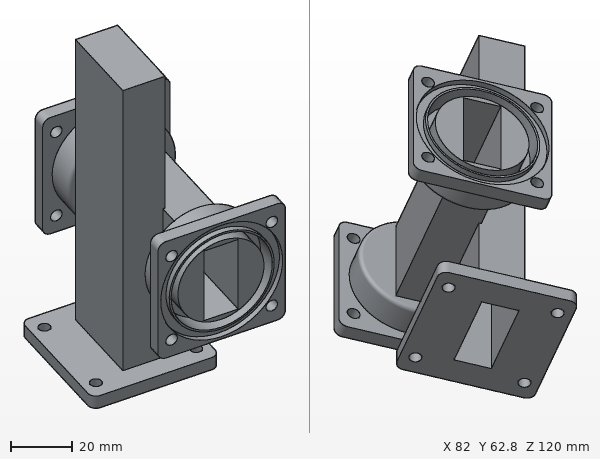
import cadquery as cq

flange_size = 47.8
flange_thickness = 5.0
flange_corner_radius = 3.0
hole_spacing_long = 37.5
hole_spacing_short = 34.3
side_hole_diameter = 4.3
base_hole_diameter = 4.2

tube_width = 31.7
tube_depth = 15.8
bore_width = 28.5
bore_depth = 12.8

overall_length = 82.0
overall_height = 120.0
port_height = 50.0
column_offset = -15.0
cap_thickness = 1.5

hub_diameter = 40.7
hub_length = 10.9
hub_fillet = 1.5

seal_outer_diameter = 45.7
seal_inner_diameter = 39.4
seal_depth = 2.2
choke_outer_diameter = 37.9
choke_inner_diameter = 32.3
choke_depth = 7.8
boss_recess = 0.5


def flange_plate(hole_diameter):
    """Drilled plate with its outer face on z = 0, long hole spacing along y."""
    return (
        cq.Workplane("XY")
        .rect(flange_size, flange_size)
        .extrude(flange_thickness)
        .edges("|Z")
        .fillet(flange_corner_radius)
        .faces("<Z")
        .workplane(origin=(0, 0, 0))
        .rect(hole_spacing_short, hole_spacing_long, forConstruction=True)
        .vertices()
        .hole(hole_diameter)
    )


def face_ring(outer_diameter, inner_diameter, depth):
    """Ring standing on z = 0, used to cut a face groove."""
    return cq.Workplane("XY").circle(outer_diameter / 2).circle(inner_diameter / 2).extrude(depth)


def side_port():
    """Grooved flange with its hub, facing -X at the left end of the cross tube."""
    hub = (
        cq.Workplane("XY")
        .workplane(offset=flange_thickness)
        .circle(hub_diameter / 2)
        .extrude(hub_length)
        .faces(">Z")
        .edges()
        .fillet(hub_fillet)
    )
    port = flange_plate(side_hole_diameter).union(hub)
    port = port.cut(face_ring(seal_outer_diameter, seal_inner_diameter, seal_depth))
    port = port.cut(face_ring(choke_outer_diameter, choke_inner_diameter, choke_depth))
    port = port.cut(cq.Workplane("XY").circle(choke_inner_diameter / 2).extrude(boss_recess))
    return port.rotate((0, 0, 0), (0, 1, 0), 90).translate((-overall_length / 2, 0, port_height))


left_port = side_port()
right_port = left_port.mirror("YZ")
cross_tube_length = overall_length - 2 * (flange_thickness + hub_length)
cross_tube = cq.Workplane("XY").box(cross_tube_length, tube_depth, tube_width).translate((0, 0, port_height))
cross_bore = cq.Workplane("XY").box(overall_length, bore_depth, bore_width).translate((0, 0, port_height))

column_plane = cq.Workplane("XY", origin=(0, column_offset, 0))
column = column_plane.rect(tube_width, tube_depth).extrude(overall_height - cap_thickness)
cap = (
    column_plane.workplane(offset=overall_height - cap_thickness)
    .rect(tube_width, tube_depth)
    .extrude(cap_thickness)
)
column_bore = column_plane.rect(bore_width, bore_depth).extrude(overall_height - cap_thickness)
base = flange_plate(base_hole_diameter).translate((0, column_offset, 0))

result = cross_tube.union(left_port).union(right_port).union(base).union(column)
result = result.cut(cross_bore).cut(column_bore)
result = result.union(cap, clean=False)